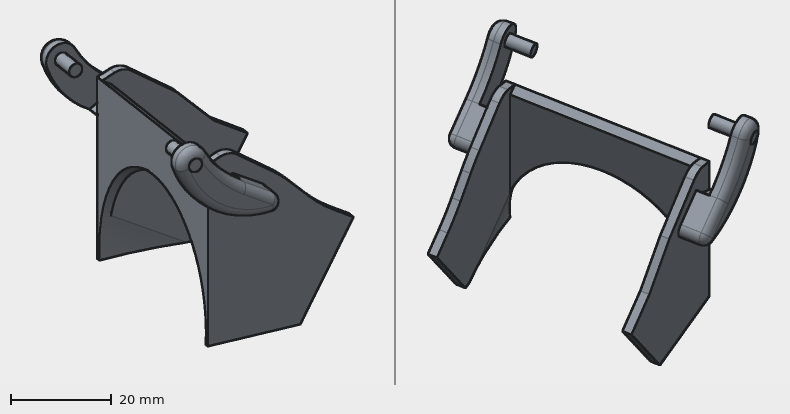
import cadquery as cq
import math

overall_width = 59.0
half_width = overall_width / 2

wall_outer_x = 22.9
wall_thickness = 2.05
plate_thickness = 2.0
plate_height = 40.0
floor_depth = 20.9
back_edge_length = 24.1
back_edge_angle = 60.0
lower_knee = (25.35, 25.35)
upper_knee = (16.95, 33.6)
crest_back = (6.55, 40.75)
crest_top = (4.65, 41.4)
crest_front = (2.9, 41.2)
knee_radius = 29.5

arch_radius = 22.0
arch_axis_z = 2.85
arch_tilt = 90.0 - back_edge_angle
arch_cut_length = 118.0

arm_thickness = 3.65
arm_edge_radius = 2.0
head_y = -6.45
head_z = 44.15
head_radius = 3.5
tip_y = 11.1
tip_z = 31.3
tip_radius = 2.05
arm_slope = 30.0
belly_angle = 95.0
clearance_radius = 14.0
pin_radius = 1.5
pin_length = 9.5


def polar(center, radius, angle):
    """Point at an angle in the YZ plane, measured from +Y towards +Z."""
    a = math.radians(angle)
    return center[0] + radius * math.cos(a), center[1] + radius * math.sin(a)


head_center = (head_y, head_z)


def make_left_wall():
    """Left side wall, extruded inwards from its outer face."""
    back_corner = polar((floor_depth, 0), back_edge_length, back_edge_angle)
    return (
        cq.Workplane("YZ", origin=(-wall_outer_x, 0, 0))
        .moveTo(0, 0)
        .lineTo(floor_depth, 0)
        .lineTo(*back_corner)
        .lineTo(*lower_knee)
        .lineTo(*upper_knee)
        .lineTo(*crest_back)
        .threePointArc(crest_top, crest_front)
        .lineTo(0, plate_height)
        .close()
        .extrude(wall_thickness)
    )


def make_right_wall():
    """Mirrored wall whose two knees are rounded."""
    wall = make_left_wall().mirror("YZ")
    wall_middle_x = wall_outer_x - wall_thickness / 2
    for knee in (lower_knee, upper_knee):
        nearest = cq.selectors.NearestToPointSelector((wall_middle_x, *knee))
        wall = wall.edges(nearest).fillet(knee_radius)
    return wall


def make_front_plate():
    """Plate between the walls, with a top edge that falls towards the rear."""
    rear_height = plate_height - plate_thickness * math.tan(math.radians(arch_tilt))
    return (
        cq.Workplane("YZ")
        .polyline([(0, 0), (plate_thickness, 0), (plate_thickness, rear_height), (0, plate_height)])
        .close()
        .extrude(wall_outer_x, both=True)
    )


def make_arch_cutter():
    """Cylinder that falls towards the rear and also thins the lower walls."""
    return (
        cq.Workplane("XZ")
        .circle(arch_radius)
        .extrude(arch_cut_length / 2, both=True)
        .rotate((0, 0, 0), (1, 0, 0), -arch_tilt)
        .translate((0, 0, arch_axis_z))
    )


def tangent_radius(start, direction, radius_change):
    """Distance t along a unit direction from start at which the point reached
    lies exactly t + radius_change from the head centre."""
    offset = (start[0] - head_y, start[1] - head_z)
    along = offset[0] * direction[0] + offset[1] * direction[1]
    return (offset[0] ** 2 + offset[1] ** 2 - radius_change ** 2) / (2 * (radius_change - along))


def arc_middle(center, first, last):
    """Point midway along the minor arc from first to last about center."""
    middle = ((first[0] + last[0]) / 2, (first[1] + last[1]) / 2)
    angle = math.atan2(middle[1] - center[1], middle[0] - center[0])
    return polar(center, math.dist(center, first), math.degrees(angle))


def find_waist_start(tip_top):
    """End of the straight top edge, where it meets the relief about the pin."""
    along = polar((0, 0), 1, 180 - arm_slope)
    offset = (tip_top[0] - head_y, tip_top[1] - head_z)
    projection = offset[0] * along[0] + offset[1] * along[1]
    excess = offset[0] ** 2 + offset[1] ** 2 - clearance_radius ** 2
    straight = -projection - math.sqrt(projection ** 2 - excess)
    return tip_top[0] + straight * along[0], tip_top[1] + straight * along[1]


def make_arm_blank(outer_x, thickness):
    """Curved arm outline with tangent arcs, extruded in +X from the given X position."""
    tip = (tip_y, tip_z)
    top_normal = 90 - arm_slope
    tip_top = polar(tip, tip_radius, top_normal)
    tip_bottom = polar(tip, tip_radius, belly_angle - 180)
    tip_back = arc_middle(tip, tip_bottom, tip_top)

    waist_start = find_waist_start(tip_top)
    waist_radius = tangent_radius(waist_start, polar((0, 0), 1, top_normal), head_radius)
    waist_center = polar(waist_start, waist_radius, top_normal)
    waist_angle = math.degrees(math.atan2(waist_center[1] - head_z, waist_center[0] - head_y))
    waist_end = polar(head_center, head_radius, waist_angle)

    reach = tangent_radius(tip, polar((0, 0), 1, belly_angle), tip_radius - head_radius)
    belly_center = polar(tip, reach, belly_angle)
    belly_angle_at_head = math.degrees(math.atan2(head_z - belly_center[1], head_y - belly_center[0]))
    belly_start = polar(head_center, head_radius, belly_angle_at_head)

    return (
        cq.Workplane("YZ", origin=(outer_x, 0, 0))
        .moveTo(*tip_top)
        .lineTo(*waist_start)
        .threePointArc(arc_middle(waist_center, waist_start, waist_end), waist_end)
        .threePointArc(polar(head_center, head_radius, 90), belly_start)
        .threePointArc(arc_middle(belly_center, belly_start, tip_bottom), tip_bottom)
        .threePointArc(tip_back, tip_top)
        .close()
        .extrude(thickness)
    )


def make_arm():
    """Left arm with its rounded outer rim and the post that joins it to the wall."""
    arm = make_arm_blank(-half_width, arm_thickness).faces("<X").edges().fillet(arm_edge_radius)
    post_x = -half_width + arm_thickness
    post_length = -wall_outer_x - post_x
    relief = (
        cq.Workplane("YZ", origin=(post_x, head_y, head_z))
        .circle(clearance_radius)
        .extrude(post_length)
    )
    return arm.union(make_arm_blank(post_x, post_length).cut(relief))


def make_left_pin():
    """Pin seated flush with the outer face of the left arm."""
    return (
        cq.Workplane("YZ", origin=(-half_width, head_y, head_z))
        .circle(pin_radius)
        .extrude(pin_length)
    )


def make_pin(side):
    """Pin on the left (-1) or right (1) side."""
    pin = make_left_pin()
    return pin if side < 0 else pin.mirror("YZ")


def make_frame(pins):
    """Walls, plate and arms as one solid, bored for the pins."""
    arm = make_arm()
    frame = make_front_plate().union(make_left_wall()).union(make_right_wall())
    frame = frame.cut(make_arch_cutter())
    frame = frame.union(arm).union(arm.mirror("YZ"))
    for pin in pins:
        frame = frame.cut(pin)
    return frame


pins = [make_pin(side) for side in (-1, 1)]
frame = make_frame(pins)
result = cq.Compound.makeCompound([frame.solids().val(), *[pin.val() for pin in pins]])